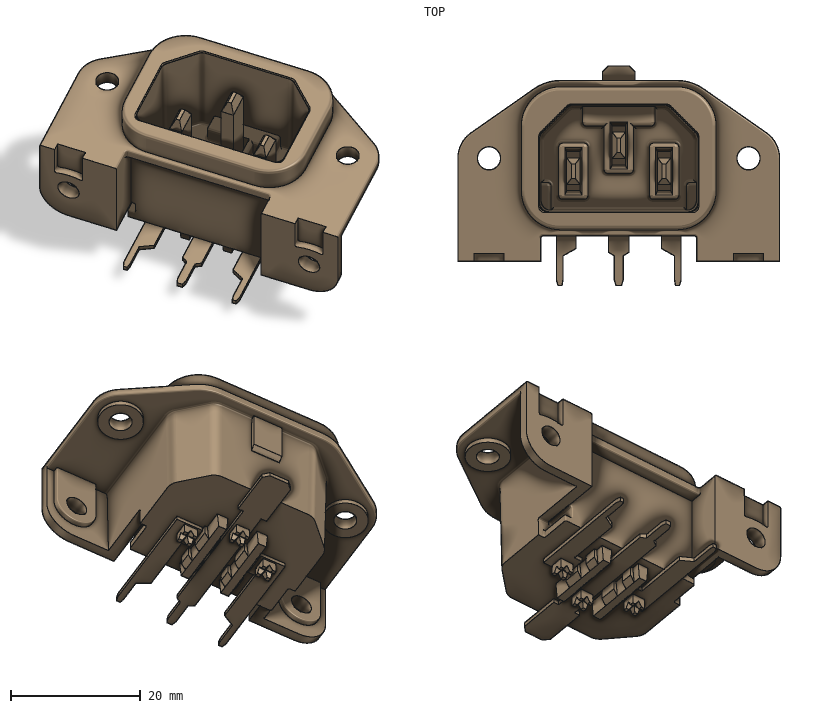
import cadquery as cq
import math


CLEARANCE = 0.5

HALF_WIDTH = 24.8
FLANGE_THICK = 1.5
EDGE_ROUND = 0.3
BRACKET_FRONT = -15.85
BRACKET_THICK = 1.5
BRACKET_BOTTOM = -14.65
GAP_HALF_WIDTH = 12.0
GAP_BACK = -11.95
GAP_CORNER = 0.4
HOLE_X = 20.0
HOLE_DIAMETER = 3.5
HOLE_PAD_DIAMETER = 7.05
FLANGE_PAD_HEIGHT = 0.85
BRACKET_PAD_HEIGHT = 0.9
PAD_ROUND = 0.25
BRACKET_HOLE_Z = -8.6
CORNER_RADIUS = HALF_WIDTH - HOLE_X

NOTCH_WIDTH = 4.6
NOTCH_DEPTH = 1.25
NOTCH_BOTTOM = -5.45
NOTCH_RISE = 0.35
NOTCH_CORNER = 0.3

SHROUD_WIDTH = 30.0
SHROUD_LENGTH = 22.0
SHROUD_HEIGHT = 3.6
SHROUD_RADIUS = 6.0
SHROUD_ROUND = 0.6
FLANGE_MARGIN = 1.0
CAVITY_HALF_WIDTH = 12.2
CAVITY_HALF_LENGTH = 8.25
CAVITY_CHAMFER = 4.65
CAVITY_CORNER = 1.5
CAVITY_FLOOR = -12.9
CAVITY_DRAFT = 1.0
RIM_CHAMFER = 0.15
RIM_DEPTH = 0.2
RIM_SLOPE = 40.0
FLOOR_ROUND = 0.45

BODY_HALF_WIDTH = 14.1
BODY_BACK = 10.1
BODY_FRONT = -10.0
BODY_CHAMFER = 5.3
BODY_CORNER = 2.5
BODY_ROOT_ROUND = 0.45
BODY_BOTTOM = -17.9
BODY_DRAFT = 1.0
BACK_RIB_WIDTH = 4.95
BACK_RIB_TOP = 10.75
BACK_RIB_BOTTOM = -8.95
BACK_RIB_CHAMFER = 0.75

RELIEF_BACK = -4.7
RELIEF_INNER = 11.3
RELIEF_TOP = -14.5
RELIEF_STEP_X = 12.6
RELIEF_STEP_Z = -16.6
RELIEF_ROUND = 0.3
FOOT_ROUND = 0.3

LIVE_X = 7.0
PIN_Y = 2.0
PIN_WIDTH = 2.05
PIN_LENGTH = 4.05
SHOULDER_LENGTH = 6.0
SHOULDER_Z = -14.4
TIP_WIDTH = 0.6
TIP_LENGTH = 2.25
TIP_BEVEL = 1.6
EARTH_TIP = 2.85
LIVE_TIP = 0.0
BOSS_TOP = -10.4
BOSS_WIDTH = 4.5
BOSS_LENGTH = 8.65
BOSS_CORNER = 0.6
BOSS_ROUND = 0.5
SOCKET_WIDTH = 2.65
SOCKET_LENGTH = 7.3
SOCKET_FLOOR = -14.9
BRIDGE_WIDTH = 11.1
BRIDGE_FRONT = 4.95
CORNER_BLOCK_INNER = 10.4
CORNER_BLOCK_BACK = -3.7

TERMINAL_THICK = 0.75
TERMINAL_FRONT = -19.6
TERMINAL_TIP = 0.85
TAB_BACK = 14.25
TAB_HALF_WIDTH = 2.55
TAB_CHAMFER = 0.9
TAB_FRONT = 5.95
EARTH_HALF_WIDTH = 1.6
NECK_BACK = -14.5
NECK_FRONT = -15.05
EARTH_NECK = 0.7
EARTH_POINT = 0.45
LIVE_OUTER = 9.6
LIVE_INNER = 6.55
LIVE_ROOT_INNER = 5.05
LIVE_BACK = -0.6
LIVE_ROOT_FRONT = -4.45
LIVE_SHOULDER = -13.9
LIVE_NECK = 8.6
LIVE_POINT_INNER = 8.75
LIVE_POINT_OUTER = 9.35
TAIL_SIZE = 2.3
TAIL_BOTTOM = -20.45
FORK_WIDTH = 1.1
FORK_HEIGHT = 0.9
PEG_X = 3.5
PEG_BOTTOM = -20.7
PEG_BACK = 2.95
PEG_FRONT = -8.7
PEG_HALF_WIDTH = 0.7
PEG_ROOT_HALF_WIDTH = 0.95
PEG_RIB_HALF_WIDTH = 1.4
PEG_RIB_TAPER_Z = -19.55
PEG_RIBS = [(-0.15, -3.1), (-5.25, -7.35)]


def box(x_range, y_range, z_range):
    """Box between two limits along each axis."""
    sizes = [abs(limits[1] - limits[0]) for limits in (x_range, y_range, z_range)]
    corner = tuple(min(limits) for limits in (x_range, y_range, z_range))
    return cq.Workplane("XY").box(*sizes, centered=False).translate(corner)


def frustum(x, y, bottom, top, bottom_size, top_size):
    """Rectangular block whose section changes evenly from bottom to top."""
    return (
        cq.Workplane("XY", origin=(x, y, bottom))
        .rect(*bottom_size)
        .workplane(offset=top - bottom)
        .rect(*top_size)
        .loft(ruled=True)
    )


def both_sides(shape):
    """The shape together with its mirror image in the YZ plane."""
    return shape.union(shape.mirror("YZ"))


def flange():
    """Flange plate: arcs around the screw holes and the shroud corners, joined by tangents."""
    back_x = SHROUD_WIDTH / 2 - SHROUD_RADIUS
    back_y = SHROUD_LENGTH / 2 - SHROUD_RADIUS
    back_radius = SHROUD_RADIUS + FLANGE_MARGIN
    distance = math.hypot(HOLE_X - back_x, back_y)
    centre_angle = math.atan2(back_y, back_x - HOLE_X)
    normal = centre_angle - math.acos((CORNER_RADIUS - back_radius) / distance)
    middle = (normal + math.pi / 2) / 2

    def on_corner(angle):
        return (HOLE_X + CORNER_RADIUS * math.cos(angle), CORNER_RADIUS * math.sin(angle))

    def on_back(angle):
        return (back_x + back_radius * math.cos(angle), back_y + back_radius * math.sin(angle))

    half = (
        cq.Workplane("XY")
        .moveTo(0, GAP_BACK)
        .lineTo(GAP_HALF_WIDTH, GAP_BACK)
        .lineTo(GAP_HALF_WIDTH, BRACKET_FRONT)
        .lineTo(HALF_WIDTH, BRACKET_FRONT)
        .lineTo(HALF_WIDTH, 0)
        .threePointArc(on_corner(normal / 2), on_corner(normal))
        .lineTo(*on_back(normal))
        .threePointArc(on_back(middle), on_back(math.pi / 2))
        .lineTo(0, back_y + back_radius)
        .close()
        .extrude(-FLANGE_THICK)
    )
    plate = both_sides(half)
    gap_corners = cq.selectors.BoxSelector(
        (-GAP_HALF_WIDTH - CLEARANCE, GAP_BACK - CLEARANCE, -FLANGE_THICK),
        (GAP_HALF_WIDTH + CLEARANCE, GAP_BACK + CLEARANCE, 0),
    )
    plate = plate.edges("|Z").edges(gap_corners).fillet(GAP_CORNER)
    plate = plate.faces(">Z").edges("not <Y").fillet(EDGE_ROUND)
    return plate.faces("<Z").edges("not <Y").fillet(EDGE_ROUND)


def bracket():
    """Upright plates at the front, with the pads behind them and under the flange."""
    outer = BRACKET_FRONT + BRACKET_THICK
    plate = box((GAP_HALF_WIDTH, HALF_WIDTH), (BRACKET_FRONT, outer), (BRACKET_BOTTOM, -EDGE_ROUND))
    plate = plate.edges("|Y and >X and <Z").fillet(CORNER_RADIUS)
    pad_back = outer + BRACKET_PAD_HEIGHT
    pad = cylinder_y(HOLE_PAD_DIAMETER, outer, pad_back)
    pad_half = HOLE_PAD_DIAMETER / 2
    pad = pad.union(
        box((HOLE_X - pad_half, HOLE_X + pad_half), (outer, pad_back), (BRACKET_HOLE_Z, -FLANGE_THICK))
    )
    pad = pad.faces(">Y").edges("not >Z").fillet(PAD_ROUND)
    flange_pad = (
        cq.Workplane("XY", origin=(HOLE_X, 0, -FLANGE_THICK))
        .circle(pad_half)
        .extrude(-FLANGE_PAD_HEIGHT)
    )
    return both_sides(plate.union(pad).union(flange_pad))


def cylinder_y(diameter, start, end):
    """Cylinder along Y through the screw hole of the bracket."""
    return (
        cq.Workplane("XZ", origin=(HOLE_X, start, BRACKET_HOLE_Z))
        .circle(diameter / 2)
        .extrude(start - end)
    )


def screw_holes():
    """Holes through the flange and the bracket, with the notch above each bracket hole."""
    flange_hole = (
        cq.Workplane("XY", origin=(HOLE_X, 0, CLEARANCE))
        .circle(HOLE_DIAMETER / 2)
        .extrude(-FLANGE_THICK - FLANGE_PAD_HEIGHT - 2 * CLEARANCE)
    )
    bracket_hole = cylinder_y(
        HOLE_DIAMETER,
        BRACKET_FRONT - CLEARANCE,
        BRACKET_FRONT + BRACKET_THICK + BRACKET_PAD_HEIGHT + CLEARANCE,
    )
    half = NOTCH_WIDTH / 2
    notch = (
        cq.Workplane("XZ", origin=(HOLE_X, BRACKET_FRONT, 0))
        .moveTo(-half, CLEARANCE)
        .lineTo(-half, NOTCH_BOTTOM)
        .threePointArc((0, NOTCH_BOTTOM + NOTCH_RISE), (half, NOTCH_BOTTOM))
        .lineTo(half, CLEARANCE)
        .close()
        .extrude(-NOTCH_DEPTH)
    )
    notch = notch.edges("|Y and <Z").fillet(NOTCH_CORNER)
    return both_sides(flange_hole.union(bracket_hole).union(notch))


def shroud():
    """Rounded collar standing on the flange."""
    return (
        cq.Workplane("XY")
        .rect(SHROUD_WIDTH, SHROUD_LENGTH)
        .extrude(SHROUD_HEIGHT)
        .edges("|Z")
        .fillet(SHROUD_RADIUS)
        .faces(">Z")
        .edges()
        .fillet(SHROUD_ROUND)
    )


def keyed_prism(half_width, front, back, chamfer, top, bottom, draft, corner):
    """Drafted prism with its two back corners cut off and its upright edges rounded."""
    prism = (
        cq.Workplane("XY", origin=(0, 0, top))
        .moveTo(-half_width, front)
        .lineTo(half_width, front)
        .lineTo(half_width, back - chamfer)
        .lineTo(half_width - chamfer, back)
        .lineTo(chamfer - half_width, back)
        .lineTo(-half_width, back - chamfer)
        .close()
        .extrude(bottom - top, taper=draft)
    )
    return prism.edges("not (<Z or >Z)").fillet(corner)


def body():
    """Drafted housing with two side walls reaching to the bracket."""
    bracket_back = BRACKET_FRONT + BRACKET_THICK
    housing = keyed_prism(
        BODY_HALF_WIDTH, bracket_back - 2 * BODY_CORNER, BODY_BACK, BODY_CHAMFER,
        -EDGE_ROUND, BODY_BOTTOM, BODY_DRAFT, BODY_CORNER,
    )
    far_front = bracket_back - 3 * BODY_CORNER
    all_x = (-HALF_WIDTH, HALF_WIDTH)
    gap_x = (-GAP_HALF_WIDTH, GAP_HALF_WIDTH)
    housing = housing.cut(box(all_x, (far_front, bracket_back), (BODY_BOTTOM, 0)))
    housing = housing.cut(box(gap_x, (far_front, BODY_FRONT), (BODY_BOTTOM, 0)))
    housing = housing.cut(box(all_x, (far_front, BODY_FRONT), (BODY_BOTTOM, BRACKET_BOTTOM)))
    return housing


def back_rib():
    """Upright rib on the back of the body, cut off at an angle at its lower end."""
    rib = box(
        (-BACK_RIB_WIDTH / 2, BACK_RIB_WIDTH / 2), (0, BACK_RIB_TOP), (BACK_RIB_BOTTOM, -FLANGE_THICK)
    )
    return rib.edges(">Y and <Z").chamfer(BACK_RIB_CHAMFER)


def corner_reliefs():
    """Stepped cuts that leave a narrow foot at the lower front of the body."""
    outside = BODY_HALF_WIDTH + CLEARANCE
    below = BODY_BOTTOM - CLEARANCE
    relief = (
        cq.Workplane("XZ", origin=(0, RELIEF_BACK, 0))
        .moveTo(RELIEF_INNER, RELIEF_TOP)
        .lineTo(GAP_HALF_WIDTH, RELIEF_TOP)
        .lineTo(GAP_HALF_WIDTH, BRACKET_BOTTOM)
        .lineTo(outside, BRACKET_BOTTOM)
        .lineTo(outside, below)
        .lineTo(RELIEF_STEP_X, below)
        .lineTo(RELIEF_STEP_X, RELIEF_STEP_Z)
        .lineTo(RELIEF_INNER, RELIEF_STEP_Z)
        .close()
        .extrude(RELIEF_BACK - BODY_FRONT)
    )
    relief = relief.edges("|Y and <X").fillet(RELIEF_ROUND)
    relief = relief.faces(">Y").edges().fillet(RELIEF_ROUND)
    return both_sides(relief)


def bosses():
    """Bosses on the cavity floor: one per pin, a bridge to the back wall and two corner blocks."""
    half = BOSS_WIDTH / 2
    low = CAVITY_FLOOR - CLEARANCE
    heights = (low, BOSS_TOP)

    def pin_boss(x, y):
        y_range = (y - BOSS_LENGTH / 2, y + BOSS_LENGTH / 2)
        return box((x - half, x + half), y_range, heights).edges("|Z").fillet(BOSS_CORNER)

    bridge = box(
        (-BRIDGE_WIDTH / 2, BRIDGE_WIDTH / 2),
        (BRIDGE_FRONT, CAVITY_HALF_LENGTH + 2 * CLEARANCE),
        heights,
    )
    bridge = bridge.edges("|Z and <Y").fillet(BOSS_CORNER)
    earth = pin_boss(0, PIN_Y).union(bridge)
    block = box(
        (CORNER_BLOCK_INNER, CAVITY_HALF_WIDTH + 2 * CLEARANCE),
        (-CAVITY_HALF_LENGTH - 2 * CLEARANCE, CORNER_BLOCK_BACK),
        heights,
    )
    block = block.edges("|Z and <X and >Y").fillet(BOSS_CORNER)
    sides = both_sides(pin_boss(LIVE_X, -PIN_Y)).union(both_sides(block))
    return earth.union(sides).faces(">Z").edges().fillet(BOSS_ROUND)


def socket(x, y):
    """Tapered recess that surrounds a pin in its boss."""
    return frustum(
        x, y, SOCKET_FLOOR, BOSS_TOP, (PIN_WIDTH, SHOULDER_LENGTH), (SOCKET_WIDTH, SOCKET_LENGTH)
    )


def pin(x, y, tip):
    """Flat contact pin with a bevelled tip, standing on a longer shoulder."""
    section = (PIN_WIDTH, PIN_LENGTH)
    bevel_start = tip - TIP_BEVEL
    shoulder_section = (PIN_WIDTH, SHOULDER_LENGTH)
    shoulder = frustum(
        x, y, SOCKET_FLOOR - CLEARANCE, SHOULDER_Z, shoulder_section, shoulder_section
    )
    blade = frustum(x, y, SHOULDER_Z, bevel_start, section, section)
    point = frustum(x, y, bevel_start, tip, section, (TIP_WIDTH, TIP_LENGTH))
    return shoulder.union(blade).union(point)


def forked_tail(x, y):
    """Square pin tail below the body, notched along both axes at its end."""
    section = (TAIL_SIZE, TAIL_SIZE)
    tail = frustum(x, y, TAIL_BOTTOM, BODY_BOTTOM, section, section)
    for plane in ("XZ", "YZ"):
        notch = (
            cq.Workplane(plane, origin=(x, y, TAIL_BOTTOM))
            .moveTo(-FORK_WIDTH / 2, 0)
            .lineTo(0, FORK_HEIGHT)
            .lineTo(FORK_WIDTH / 2, 0)
            .close()
            .extrude(TAIL_SIZE, both=True)
        )
        tail = tail.cut(notch)
    return tail


def terminal(points):
    """Flat terminal against the bottom of the body."""
    outline = cq.Workplane("XY", origin=(0, 0, BODY_BOTTOM)).polyline(points).close()
    return outline.extrude(-TERMINAL_THICK)


def terminals():
    """Earth terminal, which also forms the tab at the back, and the two live terminals."""
    tip_start = TERMINAL_FRONT + TERMINAL_TIP
    earth_side = [
        (TAB_HALF_WIDTH - TAB_CHAMFER, TAB_BACK),
        (TAB_HALF_WIDTH, TAB_BACK - TAB_CHAMFER),
        (TAB_HALF_WIDTH, TAB_FRONT),
        (EARTH_HALF_WIDTH, TAB_FRONT),
        (EARTH_HALF_WIDTH, NECK_BACK),
        (EARTH_NECK, NECK_FRONT),
        (EARTH_NECK, tip_start),
        (EARTH_POINT, TERMINAL_FRONT),
    ]
    earth = terminal(earth_side + [(-x, y) for x, y in reversed(earth_side)])
    live = terminal([
        (LIVE_ROOT_INNER, LIVE_BACK),
        (LIVE_OUTER, LIVE_BACK),
        (LIVE_OUTER, tip_start),
        (LIVE_POINT_OUTER, TERMINAL_FRONT),
        (LIVE_POINT_INNER, TERMINAL_FRONT),
        (LIVE_NECK, tip_start),
        (LIVE_NECK, NECK_FRONT),
        (LIVE_INNER, LIVE_SHOULDER),
        (LIVE_INNER, LIVE_ROOT_FRONT),
        (LIVE_ROOT_INNER, LIVE_ROOT_FRONT),
    ])
    return earth.union(both_sides(live))


def pegs():
    """Two locating pegs under the body, each a long blade with wider ribs across it."""

    def slab(y_range, half_widths_and_heights):
        right = [(PEG_X + half, z) for half, z in half_widths_and_heights]
        left = [(PEG_X - half, z) for half, z in reversed(half_widths_and_heights)]
        profile = cq.Workplane("XZ", origin=(0, y_range[0], 0)).polyline(right + left).close()
        return profile.extrude(y_range[0] - y_range[1])

    peg = slab(
        (PEG_BACK, PEG_FRONT), [(PEG_ROOT_HALF_WIDTH, BODY_BOTTOM), (PEG_HALF_WIDTH, PEG_BOTTOM)]
    )
    for y_range in PEG_RIBS:
        peg = peg.union(slab(y_range, [
            (PEG_RIB_HALF_WIDTH, BODY_BOTTOM),
            (PEG_RIB_HALF_WIDTH, PEG_RIB_TAPER_Z),
            (PEG_HALF_WIDTH, PEG_BOTTOM),
        ]))
    return both_sides(peg)


def cavity():
    """Space inside the shroud around the bosses, with rounded floor edges and a broken rim."""
    space = keyed_prism(
        CAVITY_HALF_WIDTH, -CAVITY_HALF_LENGTH, CAVITY_HALF_LENGTH, CAVITY_CHAMFER,
        SHROUD_HEIGHT, CAVITY_FLOOR, CAVITY_DRAFT, CAVITY_CORNER,
    )
    space = space.cut(bosses()).faces("<Z").edges().fillet(FLOOR_ROUND)
    rim = keyed_prism(
        CAVITY_HALF_WIDTH + RIM_CHAMFER, -CAVITY_HALF_LENGTH - RIM_CHAMFER,
        CAVITY_HALF_LENGTH + RIM_CHAMFER, CAVITY_CHAMFER, SHROUD_HEIGHT, SHROUD_HEIGHT - RIM_DEPTH,
        RIM_SLOPE, CAVITY_CORNER,
    )
    return space.union(rim)


def flanged_body():
    """Flange and body, with a rounded transition along the sides and back of the body."""
    joined = flange().union(body())
    root = cq.selectors.BoxSelector(
        (-BODY_HALF_WIDTH - CLEARANCE, BODY_FRONT, -FLANGE_THICK - EDGE_ROUND),
        (BODY_HALF_WIDTH + CLEARANCE, BODY_BACK + CLEARANCE, -FLANGE_THICK + EDGE_ROUND),
    )
    return joined.edges(root).edges("not <Y").fillet(BODY_ROOT_ROUND)


def round_foot(housing):
    """Round the front edges of the narrow foot between the corner reliefs."""
    for side in (-1, 1):
        x_limits = sorted((side * (RELIEF_INNER - EDGE_ROUND), side * (RELIEF_STEP_X + EDGE_ROUND)))
        foot_edges = cq.selectors.BoxSelector(
            (x_limits[0], BODY_FRONT - EDGE_ROUND, BODY_BOTTOM + EDGE_ROUND),
            (x_limits[1], BODY_FRONT + EDGE_ROUND, BRACKET_BOTTOM),
        )
        housing = housing.edges(foot_edges).fillet(FOOT_ROUND)
    return housing


result = flanged_body()
result = result.union(back_rib()).union(bracket()).union(shroud())
result = result.cut(cavity()).cut(corner_reliefs()).cut(screw_holes())
result = round_foot(result)

pins = [(0, PIN_Y, EARTH_TIP), (-LIVE_X, -PIN_Y, LIVE_TIP), (LIVE_X, -PIN_Y, LIVE_TIP)]
for x, y, tip in pins:
    result = result.cut(socket(x, y)).union(pin(x, y, tip)).union(forked_tail(x, y))
result = result.union(terminals()).union(pegs())